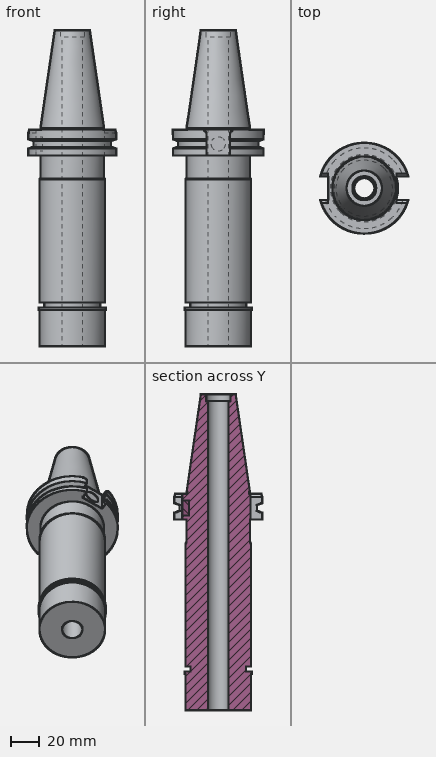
import cadquery as cq

total_height = 220.6
gauge_z = 152.2
flange_top_z = 151.1
flange_bottom_z = 133.0
v_groove_z = 141.2
sleeve_top_z = 117.0
sleeve_bottom_z = 30.5
nose_height = 27.1

gauge_radius = 22.3
taper_ratio = 7 / 24
taper_top_radius = gauge_radius - (total_height - gauge_z) * taper_ratio / 2
relief_radius = 21.6
collar_radius = 22.3

flange_radius = 31.8
groove_floor_radius = 28.2
groove_mouth_width = 6.6
groove_floor_width = 4.0

slot_width = 16.3
slot_chamfer = 2.2
left_slot_floor = 25.2
right_slot_floor = 22.5

plug_diameter = 10.0
plug_depth = 4.5
plug_z = v_groove_z

sleeve_radius = 23.0
nose_radius = sleeve_radius
sleeve_chamfer = 0.5
neck_radius = 19.6
nose_rim_radius = 23.5
nose_rim_height = 1.8
bore_radius = 7.0
counterbore_radius = 8.4
counterbore_depth = 4.9


def revolve_outline(points):
    """Revolve a closed (radius, height) outline around the Z axis."""
    return cq.Workplane("XZ").polyline(points).close().revolve(360, (0, 0, 0), (0, 1, 0))


def make_turned_holder():
    """Taper, flange, sleeve and nose around the stepped through bore."""
    half_mouth = groove_mouth_width / 2
    half_floor = groove_floor_width / 2
    counterbore_z = total_height - counterbore_depth
    return revolve_outline([
        (bore_radius, 0),
        (nose_radius, 0),
        (nose_radius, nose_height - nose_rim_height),
        (nose_rim_radius, nose_height - nose_rim_height),
        (nose_rim_radius, nose_height),
        (neck_radius, nose_height),
        (neck_radius, sleeve_bottom_z),
        (sleeve_radius, sleeve_bottom_z),
        (sleeve_radius, sleeve_top_z - sleeve_chamfer),
        (sleeve_radius - sleeve_chamfer, sleeve_top_z),
        (collar_radius, sleeve_top_z),
        (collar_radius, flange_bottom_z),
        (flange_radius, flange_bottom_z),
        (flange_radius, v_groove_z - half_mouth),
        (groove_floor_radius, v_groove_z - half_floor),
        (groove_floor_radius, v_groove_z + half_floor),
        (flange_radius, v_groove_z + half_mouth),
        (flange_radius, flange_top_z),
        (relief_radius, flange_top_z),
        (relief_radius, gauge_z),
        (gauge_radius, gauge_z),
        (taper_top_radius, total_height),
        (counterbore_radius, total_height),
        (counterbore_radius, counterbore_z),
        (bore_radius, counterbore_z),
    ])


def make_slot_cutter(side, floor_distance):
    """Drive slot with a chamfered mouth, on the +X (side=1) or -X (side=-1) flank."""
    half_width = slot_width / 2
    half_mouth = half_width + slot_chamfer
    profile = [
        (-half_width, flange_bottom_z),
        (half_width, flange_bottom_z),
        (half_width, flange_top_z - slot_chamfer),
        (half_mouth, flange_top_z),
        (-half_mouth, flange_top_z),
        (-half_width, flange_top_z - slot_chamfer),
    ]
    return (
        cq.Workplane("YZ", origin=(side * floor_distance, 0, 0))
        .polyline(profile)
        .close()
        .extrude(side * flange_radius)
    )


def make_plug():
    """Round plug lying flush with the floor of the -X drive slot."""
    return (
        cq.Workplane("YZ", origin=(-left_slot_floor, 0, plug_z))
        .circle(plug_diameter / 2)
        .extrude(plug_depth)
    )


def make_holder():
    holder = make_turned_holder()
    for side, floor_distance in [(-1, left_slot_floor), (1, right_slot_floor)]:
        holder = holder.cut(make_slot_cutter(side, floor_distance))
    return holder.cut(make_plug())


holder = make_holder()
plug = make_plug()
result = cq.Compound.makeCompound([holder.val(), plug.val()])